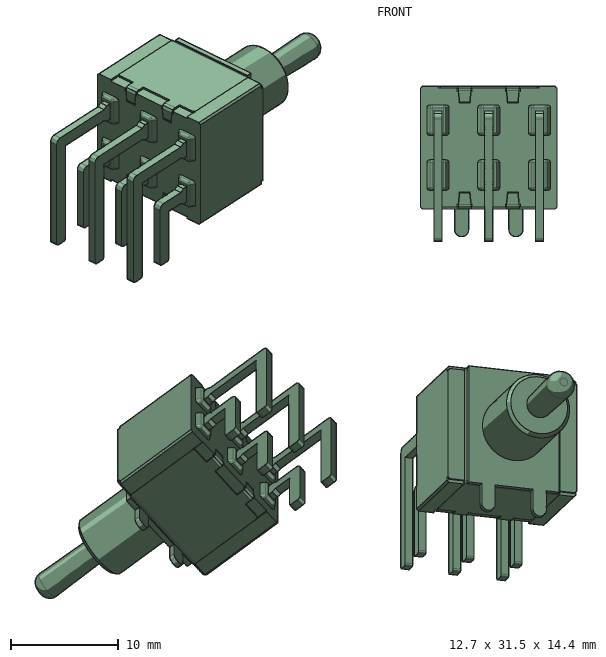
import cadquery as cq


OVERALL_LENGTH = 31.5
OVERALL_HEIGHT = 14.42

HOUSING_WIDTH = 12.7
HOUSING_HEIGHT = 11.43
HOUSING_LENGTH = 8.85
HOUSING_EDGE_CHAMFER = 0.2
RIM_LENGTH = 0.22
RIM_SET_IN = 0.3
TOP_Z = HOUSING_HEIGHT / 2
REAR_Y = -HOUSING_LENGTH

SHEET = 0.2
FRAME_WIDTH = 9.38
FRAME_REAR_MARGIN = 1.05
FRAME_FRONT_RADIUS = 0.28
PANEL_CORNER_CHAMFER = 0.2
PANEL_LENGTH = HOUSING_LENGTH - FRAME_REAR_MARGIN

TAB_X = 2.25
TAB_BEND_RADIUS = 0.4
TAB_REACH = 1.48
TAB_ROOT_WIDTH = 1.25
TAB_TIP_WIDTH = 0.9
POCKET_REACH = 1.57
POCKET_MOUTH_WIDTH = 1.4
POCKET_MOUTH_DEPTH = 0.47
POCKET_NECK_WIDTH = 1.2
POCKET_END_WIDTH = 1.0

PLATE_WIDTH = 8.88
PLATE_THICKNESS = 0.5
LEG_X = 2.52
LEG_WIDTH = 1.32
LEG_BOTTOM_Z = -8.28

BUSHING_DIAMETER = 6.2
BUSHING_FRONT_Y = 7.62
BUSHING_CHAMFER = 0.3
LEVER_ROOT_DIAMETER = 2.42
LEVER_TIP_DIAMETER = 2.68
LEVER_TIP_Y = 14.58
LEVER_TIP_RADIUS = 0.95

TERMINAL_PITCH_X = 4.72
TERMINAL_ROW_Z = 2.55
TERMINAL_THICKNESS = 0.75
TERMINAL_WIDTH = 1.25
TERMINAL_BASE_WIDTH = 1.73
BASE_END_Y = -9.82
TAPER_END_Y = -10.2
UPPER_TERMINAL_Y = LEVER_TIP_Y - OVERALL_LENGTH
LOWER_TERMINAL_Y = -13.13
TERMINAL_BOTTOM_Z = TOP_Z - OVERALL_HEIGHT
TERMINAL_BEND_RADIUS = 0.5
TERMINAL_END_RADIUS = 0.25

PEDESTAL_HEIGHT = 2.85
PEDESTAL_LENGTH = 0.55
PEDESTAL_BASE_WIDTH = 2.05
PEDESTAL_END_WIDTH = 1.3
PEDESTAL_EDGE_RADIUS = 0.28


def box(width, y_rear, y_front, z_bottom, z_top):
    """Box centred on X between the given Y and Z limits."""
    block = cq.Workplane("XY").box(width, y_front - y_rear, z_top - z_bottom, centered=(True, False, False))
    return block.translate((0, y_rear, z_bottom))


def both_sides(upper):
    """The upper shape together with its mirror image below the lever axis."""
    return upper.union(upper.mirror("XY"))


def chamfered_bar(y_rear, y_front, height):
    """Housing bar along Y with its four long edges chamfered."""
    return box(HOUSING_WIDTH, y_rear, y_front, -height / 2, height / 2).edges("|Y").chamfer(HOUSING_EDGE_CHAMFER)


def tab_pocket(x):
    """Stepped, tapering pocket in the housing rear for one upper tab."""
    neck_z = TOP_Z - POCKET_MOUTH_DEPTH
    end_z = TOP_Z - POCKET_REACH
    half_outline = [
        (POCKET_MOUTH_WIDTH / 2, TOP_Z),
        (POCKET_MOUTH_WIDTH / 2, neck_z),
        (POCKET_NECK_WIDTH / 2, neck_z),
        (POCKET_END_WIDTH / 2, end_z),
    ]
    outline = half_outline + [(-px, pz) for px, pz in reversed(half_outline)]
    return cq.Workplane("XZ", origin=(x, REAR_Y + SHEET, 0)).polyline(outline).close().extrude(SHEET)


def tab(x):
    """Upper tab: runs back from the panel and folds down the housing rear, tapering to its tip."""
    panel_end_y = -PANEL_LENGTH
    folded_sheet = (
        cq.Workplane("YZ")
        .moveTo(panel_end_y, TOP_Z)
        .lineTo(REAR_Y + TAB_BEND_RADIUS, TOP_Z)
        .radiusArc((REAR_Y, TOP_Z - TAB_BEND_RADIUS), -TAB_BEND_RADIUS)
        .lineTo(REAR_Y, TOP_Z - TAB_REACH)
        .lineTo(REAR_Y + SHEET, TOP_Z - TAB_REACH)
        .lineTo(REAR_Y + SHEET, TOP_Z - SHEET)
        .lineTo(panel_end_y, TOP_Z - SHEET)
        .close()
        .extrude(TAB_ROOT_WIDTH / 2, both=True)
    )
    taper = (
        cq.Workplane("XZ")
        .polyline([
            (-TAB_ROOT_WIDTH / 2, TOP_Z),
            (TAB_ROOT_WIDTH / 2, TOP_Z),
            (TAB_TIP_WIDTH / 2, TOP_Z - TAB_REACH),
            (-TAB_TIP_WIDTH / 2, TOP_Z - TAB_REACH),
        ])
        .close()
        .extrude(HOUSING_LENGTH)
    )
    straight_part = box(TAB_ROOT_WIDTH, REAR_Y + TAB_BEND_RADIUS, panel_end_y, TOP_Z - SHEET, TOP_Z)
    return folded_sheet.intersect(taper).union(straight_part).translate((x, 0, 0))


def pedestal(x, z):
    """Boss on the housing rear around one terminal root, with sloping flanks and rounded edges."""
    end_y = REAR_Y - PEDESTAL_LENGTH
    outline = [
        (-PEDESTAL_BASE_WIDTH / 2, REAR_Y),
        (PEDESTAL_BASE_WIDTH / 2, REAR_Y),
        (PEDESTAL_END_WIDTH / 2, end_y),
        (-PEDESTAL_END_WIDTH / 2, end_y),
    ]
    boss = cq.Workplane("XY").polyline(outline).close().extrude(PEDESTAL_HEIGHT / 2, both=True)
    return boss.edges("not(>Y)").fillet(PEDESTAL_EDGE_RADIUS).translate((x, 0, z))


def terminal(x, z, outer_y):
    """Flat terminal that leaves the housing with a wide base and bends down to the board."""
    half_base = TERMINAL_BASE_WIDTH / 2
    half_width = TERMINAL_WIDTH / 2
    inner_y = outer_y + TERMINAL_WIDTH
    outline = [
        (REAR_Y, z + half_base),
        (BASE_END_Y, z + half_base),
        (TAPER_END_Y, z + half_width),
        (outer_y, z + half_width),
        (outer_y, TERMINAL_BOTTOM_Z),
        (inner_y, TERMINAL_BOTTOM_Z),
        (inner_y, z - half_width),
        (TAPER_END_Y, z - half_width),
        (BASE_END_Y, z - half_base),
        (REAR_Y, z - half_base),
    ]
    blade = cq.Workplane("YZ").polyline(outline).close().extrude(TERMINAL_THICKNESS / 2, both=True)
    blade = blade.faces("<Y").edges(">Z").fillet(TERMINAL_BEND_RADIUS)
    blade = blade.faces("<Z").edges("|X").fillet(TERMINAL_END_RADIUS)
    return blade.translate((x, 0, 0))


def make_housing():
    """Plastic housing with its six fixed terminals."""
    rim = chamfered_bar(-RIM_LENGTH, 0, HOUSING_HEIGHT - 2 * RIM_SET_IN)
    body = chamfered_bar(REAR_Y, -RIM_LENGTH, HOUSING_HEIGHT).union(rim)

    front_recess = box(FRAME_WIDTH, -SHEET, 0, -TOP_Z, TOP_Z)
    top_recess = box(FRAME_WIDTH, REAR_Y, 0, TOP_Z - SHEET, TOP_Z)
    body = body.cut(front_recess).cut(both_sides(top_recess))
    for x in (-TAB_X, TAB_X):
        body = body.cut(both_sides(tab_pocket(x)))

    for x in (-TERMINAL_PITCH_X, 0, TERMINAL_PITCH_X):
        for z, outer_y in ((TERMINAL_ROW_Z, UPPER_TERMINAL_Y), (-TERMINAL_ROW_Z, LOWER_TERMINAL_Y)):
            body = body.union(pedestal(x, z)).union(terminal(x, z, outer_y))
    return body


def make_channel():
    """U-shaped sheet: a web on the housing front and panels along its top and bottom."""
    outside = box(FRAME_WIDTH, -PANEL_LENGTH, 0, -TOP_Z, TOP_Z)
    outside = outside.faces(">Y").edges("|X").fillet(FRAME_FRONT_RADIUS)
    outside = outside.faces("<Y").edges("|Z").chamfer(PANEL_CORNER_CHAMFER)
    inside = box(FRAME_WIDTH, -PANEL_LENGTH, -SHEET, SHEET - TOP_Z, TOP_Z - SHEET)
    return outside.cut(inside)


def make_front_plate():
    """Plate in front of the housing with two round-ended locating legs."""
    plate = box(PLATE_WIDTH, 0, PLATE_THICKNESS, -TOP_Z, TOP_Z)
    for x in (-LEG_X, LEG_X):
        leg = box(LEG_WIDTH, 0, PLATE_THICKNESS, LEG_BOTTOM_Z + LEG_WIDTH / 2, -TOP_Z)
        tip = cq.Workplane("XZ").center(0, LEG_BOTTOM_Z + LEG_WIDTH / 2).circle(LEG_WIDTH / 2)
        leg = leg.union(tip.extrude(-PLATE_THICKNESS))
        plate = plate.union(leg.translate((x, 0, 0)))
    return plate


def make_bushing():
    """Cylindrical bushing with a chamfered front edge."""
    bushing = cq.Workplane("XZ").circle(BUSHING_DIAMETER / 2).extrude(-BUSHING_FRONT_Y)
    return bushing.faces(">Y").edges().chamfer(BUSHING_CHAMFER)


def make_lever():
    """Lever that widens slightly towards its rounded tip."""
    lever = (
        cq.Workplane("XY")
        .polyline([
            (0, BUSHING_FRONT_Y),
            (LEVER_ROOT_DIAMETER / 2, BUSHING_FRONT_Y),
            (LEVER_TIP_DIAMETER / 2, LEVER_TIP_Y),
            (0, LEVER_TIP_Y),
        ])
        .close()
        .revolve(360, (0, 0, 0), (0, 1, 0))
    )
    return lever.faces(">Y").edges().fillet(LEVER_TIP_RADIUS)


def make_actuator_frame():
    """Metal frame with its plate, tabs, bushing and lever."""
    frame = make_channel().union(make_front_plate()).union(make_bushing()).union(make_lever())
    for x in (-TAB_X, TAB_X):
        frame = frame.union(both_sides(tab(x)))
    return frame


housing = make_housing()
actuator_frame = make_actuator_frame()

result = cq.Compound.makeCompound([*housing.solids().vals(), *actuator_frame.solids().vals()])